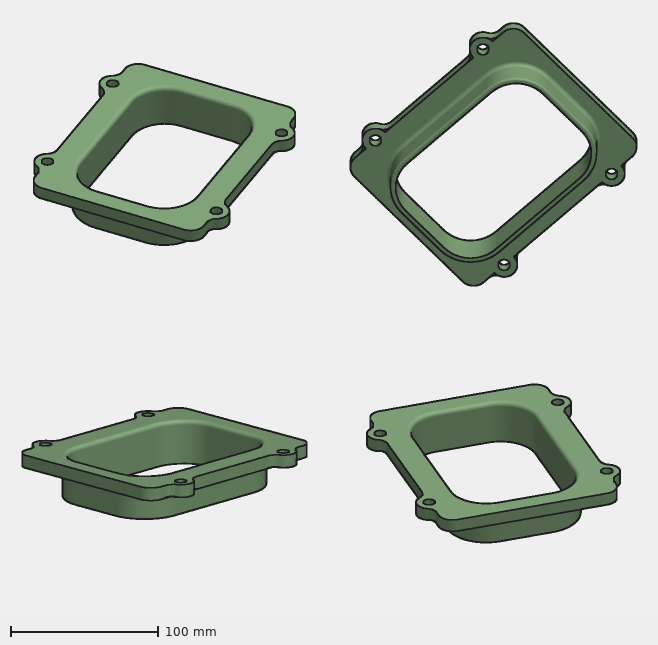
import cadquery as cq
import math

plate_width = 128.0
plate_length = 158.0
plate_thickness = 9.0
plate_corner_radius = 10.0

lug_radius = 9.0
lug_blend_radius = 8.0
lug_blend_gap = 0.4
lug_offset_y = 50.0
screw_hole_diameter = 8.0

opening_width = 88.0
opening_length = 128.0
opening_corner_radius = 25.0
wall = 3.6
total_height = 30.6
sleeve_depth = total_height - plate_thickness

mouth_radius = 3.0
root_radius = 2.8
rim_radius = 1.6

half_width = plate_width / 2
lug_centers = [(x, y) for x in (-half_width, half_width) for y in (-lug_offset_y, lug_offset_y)]
blend_offset_y = math.sqrt((lug_radius + lug_blend_radius) ** 2 - lug_blend_radius**2)


def rounded_block(width, length, corner_radius, bottom, height):
    """Rectangular block with rounded vertical edges, standing on z = bottom."""
    block = cq.Workplane("XY").workplane(offset=bottom).rect(width, length).extrude(height)
    return block.edges("|Z").fillet(corner_radius)


def make_lug(x, y):
    """Round lug whose flanks blend tangentially into the plate edge."""
    disc = cq.Workplane("XY").center(x, y).circle(lug_radius).extrude(plate_thickness)
    side = math.copysign(1, x)
    touch = lug_radius / (lug_radius + lug_blend_radius)
    touch_x = x + side * touch * lug_blend_radius
    touch_y = touch * blend_offset_y
    half_angle = math.atan2(blend_offset_y, lug_blend_radius) / 2
    mid_x = x + side * lug_blend_radius * (1 - math.cos(half_angle))
    mid_y = blend_offset_y - lug_blend_radius * math.sin(half_angle)
    inner_x = x - side * lug_radius
    blend_web = (
        cq.Workplane("XY")
        .workplane(offset=lug_blend_gap)
        .moveTo(inner_x, y - blend_offset_y)
        .lineTo(x, y - blend_offset_y)
        .threePointArc((mid_x, y - mid_y), (touch_x, y - touch_y))
        .lineTo(touch_x, y + touch_y)
        .threePointArc((mid_x, y + mid_y), (x, y + blend_offset_y))
        .lineTo(inner_x, y + blend_offset_y)
        .close()
        .extrude(plate_thickness - lug_blend_gap)
    )
    return disc.union(blend_web)


def make_flange():
    """Plate with its four lugs; the underside lies on z = 0."""
    flange = rounded_block(plate_width, plate_length, plate_corner_radius, 0, plate_thickness)
    for x, y in lug_centers:
        flange = flange.union(make_lug(x, y))
    return flange.clean()


def make_sleeve():
    """Solid sleeve body below the plate, with its lower outer edge rounded."""
    sleeve = rounded_block(
        opening_width + 2 * wall,
        opening_length + 2 * wall,
        opening_corner_radius + wall,
        -sleeve_depth,
        sleeve_depth,
    )
    return sleeve.faces("<Z").edges().fillet(rim_radius)


def round_sleeve_root(body):
    """Fillet the inside corner where the sleeve meets the plate underside."""
    half_sleeve = opening_width / 2 + wall
    root_edge = cq.selectors.NearestToPointSelector((half_sleeve, 0, 0))
    return body.edges(root_edge).fillet(root_radius)


def cut_opening(body):
    """Cut the through opening and round its upper edge."""
    opening = rounded_block(
        opening_width, opening_length, opening_corner_radius, -sleeve_depth, total_height
    )
    body = body.cut(opening)
    mouth_edge = cq.selectors.NearestToPointSelector((opening_width / 2, 0, plate_thickness))
    return body.edges(mouth_edge).fillet(mouth_radius)


def drill_screw_holes(body):
    """Drill one through hole in each lug."""
    holes = cq.Workplane("XY").pushPoints(lug_centers).circle(screw_hole_diameter / 2)
    return body.cut(holes.extrude(plate_thickness))


body = make_flange().union(make_sleeve())
body = round_sleeve_root(body)
body = cut_opening(body)
result = drill_screw_holes(body)